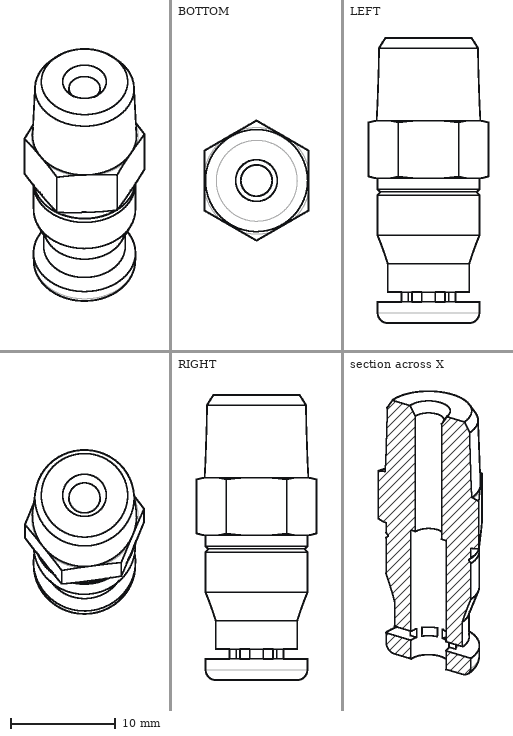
import cadquery as cq
import math

TOTAL_HEIGHT = 27.4
FLANGE_TOP = 2.05
COLLAR_BOTTOM = 3.0
COLLAR_TOP = 5.7
CONE_TOP = 8.45
GROOVE_BOTTOM = 12.3
GROOVE_ROOT = 12.6
GROOVE_TOP = 12.85
HEX_BOTTOM = 13.92
HEX_TOP = 19.45

BODY_DIAMETER = 9.8
COLLAR_DIAMETER = 7.85
GROOVE_DEPTH = 0.27
FLANGE_FILLET = 1.01

HEX_ACROSS_FLATS = 10.0
HEX_HEIGHT = HEX_TOP - HEX_BOTTOM
HEX_FACE_RADIUS = 5.12
HEX_CHAMFER_ANGLE = 15.0

TAPER_BASE_DIAMETER = HEX_ACROSS_FLATS
TAPER_TIP_DIAMETER = 9.54
TIP_FACE_DIAMETER = 8.3
TIP_CHAMFER_HEIGHT = 1.0

SLEEVE_DIAMETER = 5.43
SLOT_WIDTH = 1.5
SLOT_COUNT = 6

TUBE_BORE_DIAMETER = 4.0
TUBE_BORE_DEPTH = HEX_BOTTOM
THROUGH_DIAMETER = 3.0
COUNTERSINK_DIAMETER = 4.2
COUNTERSINK_DEPTH = 1.0


def cylinder(diameter, bottom, top):
    return cq.Workplane("XY").workplane(offset=bottom).circle(diameter / 2).extrude(top - bottom)


def revolve_about_z(points):
    """Revolve a closed outline of (radius, height) points about Z."""
    return cq.Workplane("XZ").polyline(points).close().revolve(360, (0, 0), (0, 1))


def make_body():
    """Collar, cone and grooved barrel below the hexagon."""
    radius = BODY_DIAMETER / 2
    return revolve_about_z([
        (0, COLLAR_BOTTOM),
        (COLLAR_DIAMETER / 2, COLLAR_BOTTOM),
        (COLLAR_DIAMETER / 2, COLLAR_TOP),
        (radius, CONE_TOP),
        (radius, GROOVE_BOTTOM),
        (radius - GROOVE_DEPTH, GROOVE_ROOT),
        (radius, GROOVE_TOP),
        (radius, HEX_BOTTOM),
        (0, HEX_BOTTOM),
    ])


def make_hexagon():
    """Hexagon with corners on Y, chamfered conically at both ends."""
    corner_diameter = HEX_ACROSS_FLATS / math.cos(math.pi / 6)
    prism = (
        cq.Workplane("XY").workplane(offset=HEX_BOTTOM)
        .polygon(6, corner_diameter).extrude(HEX_HEIGHT)
        .rotate((0, 0, 0), (0, 0, 1), 30)
    )
    envelope_radius = corner_diameter / 2 + 0.27
    drop = (envelope_radius - HEX_FACE_RADIUS) * math.tan(math.radians(HEX_CHAMFER_ANGLE))
    envelope = revolve_about_z([
        (0, HEX_BOTTOM),
        (HEX_FACE_RADIUS, HEX_BOTTOM),
        (envelope_radius, HEX_BOTTOM + drop),
        (envelope_radius, HEX_TOP - drop),
        (HEX_FACE_RADIUS, HEX_TOP),
        (0, HEX_TOP),
    ])
    return prism.intersect(envelope)


def make_tapered_end():
    return revolve_about_z([
        (0, HEX_TOP),
        (TAPER_BASE_DIAMETER / 2, HEX_TOP),
        (TAPER_TIP_DIAMETER / 2, TOTAL_HEIGHT - TIP_CHAMFER_HEIGHT),
        (TIP_FACE_DIAMETER / 2, TOTAL_HEIGHT),
        (0, TOTAL_HEIGHT),
    ])


def make_release_sleeve():
    """Rounded flange joined to the collar by the sleeve fingers."""
    flange = cylinder(BODY_DIAMETER, 0, FLANGE_TOP).faces("<Z").edges().fillet(FLANGE_FILLET)
    fingers = cylinder(SLEEVE_DIAMETER, FLANGE_TOP, COLLAR_BOTTOM)
    for i in range(SLOT_COUNT // 2):
        slot = (
            cq.Workplane("XY").workplane(offset=FLANGE_TOP)
            .rect(SLOT_WIDTH, 2 * SLEEVE_DIAMETER).extrude(COLLAR_BOTTOM - FLANGE_TOP)
            .rotate((0, 0, 0), (0, 0, 1), i * 360 / SLOT_COUNT)
        )
        fingers = fingers.cut(slot)
    return flange.union(fingers)


def make_bore():
    """Tube socket from below, through hole and countersink at the top."""
    socket = cylinder(TUBE_BORE_DIAMETER, 0, TUBE_BORE_DEPTH)
    through = cylinder(THROUGH_DIAMETER, 0, TOTAL_HEIGHT)
    countersink = revolve_about_z([
        (0, TOTAL_HEIGHT - COUNTERSINK_DEPTH),
        (THROUGH_DIAMETER / 2, TOTAL_HEIGHT - COUNTERSINK_DEPTH),
        (COUNTERSINK_DIAMETER / 2, TOTAL_HEIGHT),
        (0, TOTAL_HEIGHT),
    ])
    return socket.union(through).union(countersink)


solid_fitting = (
    make_release_sleeve()
    .union(make_body())
    .union(make_hexagon())
    .union(make_tapered_end())
)
result = solid_fitting.cut(make_bore())